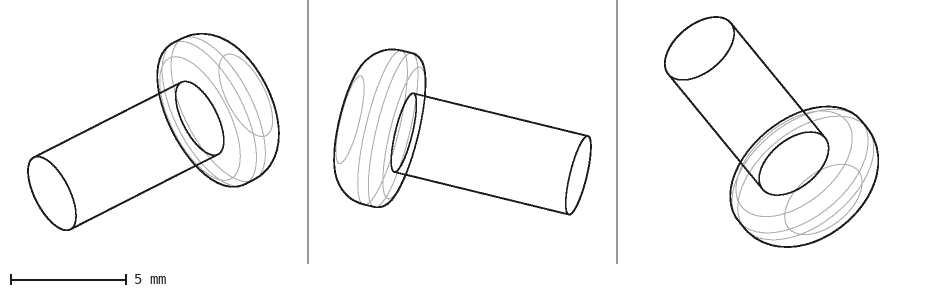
import cadquery as cq

overall_length = 10.4
head_diameter = 6.86
head_height = 2.46
shank_diameter = 3.5
crown_radius = 1.48
underside_radius = 0.5

shank_length = overall_length - head_height


def cylinder_toward_plus_y(diameter, length):
    """Cylinder on the Y axis, running from Y = 0 to Y = length."""
    return cq.Workplane("XZ").circle(diameter / 2).extrude(-length)


def make_head():
    """Head with its bearing face at Y = 0 and both rims rounded."""
    head = cylinder_toward_plus_y(head_diameter, head_height)
    head = head.faces(">Y").edges().fillet(crown_radius)
    return head.faces("<Y").edges().fillet(underside_radius)


def make_shank():
    """Plain shank hanging from the bearing face of the head."""
    return cylinder_toward_plus_y(shank_diameter, -shank_length)


result = make_head().union(make_shank())